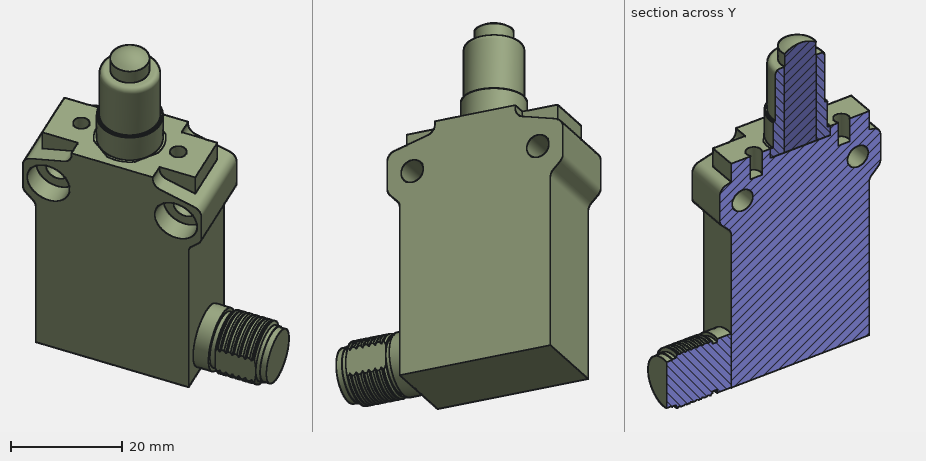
import cadquery as cq
import math


HOUSING_WIDTH = 30.0
HOUSING_DEPTH = 16.0
HOUSING_HEIGHT = 49.0
EAR_WIDTH = 35.0
EAR_BOTTOM = 36.67
CORNER_RADIUS = 2.0
NECK_WIDTH = 16.0
SHOULDER_ANGLE = 15.0
SHOULDER_EDGE_HEIGHT = 45.0
BLOCK_DEPTH = 10.0

MOUNT_SPACING = 25.0
MOUNT_HEIGHT = 40.0
MOUNT_DIAMETER = 4.4
MOUNT_BORE_DIAMETER = 8.3
MOUNT_BORE_DEPTH = 4.0

TOP_HOLE_SPACING = 19.0
TOP_HOLE_DIAMETER = 3.0
TOP_HOLE_DEPTH = 5.0

BASE_DIAMETER = 13.0
BASE_ACROSS_FLATS = 12.1
BASE_TURN = 8.0
BASE_THICKNESS = 2.0
COLLAR_DIAMETER = 12.0
COLLAR_TOP = 54.7
COLLAR_CHAMFER = 0.2
SLEEVE_DIAMETER = 11.0
SLEEVE_TOP = 65.7
SLEEVE_FILLET = 1.0

PLUNGER_DIAMETER = 7.1
DOME_BASE = 68.5
PLUNGER_TOP = 69.7

FLANGE_DIAMETER = 12.0
FLANGE_END = 3.0
NECK_DIAMETER = 10.6
THREAD_START = 4.0
THREAD_END = 12.0
THREAD_DIAMETER = 12.0
THREAD_LEAD_RADIUS = 5.65
LEAD_IN_LENGTH = 0.4
RUN_OUT_LENGTH = 0.3
GROOVE_COUNT = 6
GROOVE_PITCH = 1.25
GROOVE_WIDTH = 0.7
GROOVE_DEPTH = 0.22
FIRST_GROOVE = 4.9
NOSE_DIAMETER = 10.3
NOSE_START = 12.8
CONNECTOR_LENGTH = 14.0

half_width = HOUSING_WIDTH / 2
recess_floor = HOUSING_HEIGHT - BASE_THICKNESS


def shoulder_height(x):
    """Height of the sloping ear shoulder at a distance x from the centre plane."""
    return SHOULDER_EDGE_HEIGHT + (half_width - x) * math.tan(math.radians(SHOULDER_ANGLE))


def upright_cylinder(diameter, top):
    """Cylinder on the Z axis that stands on the floor of the bushing recess."""
    return (
        cq.Workplane("XY")
        .workplane(offset=recess_floor)
        .circle(diameter / 2)
        .extrude(top - recess_floor)
    )


def base_flange():
    """Disc with four flats, flush with the top of the housing; also the shape of its recess."""
    flats = (
        cq.Workplane("XY")
        .workplane(offset=recess_floor)
        .rect(BASE_ACROSS_FLATS, BASE_ACROSS_FLATS)
        .extrude(BASE_THICKNESS)
        .rotate((0, 0, 0), (0, 0, 1), 45 + BASE_TURN)
    )
    return upright_cylinder(BASE_DIAMETER, HOUSING_HEIGHT).intersect(flats)


def make_housing():
    half_ear = EAR_WIDTH / 2
    half_neck = NECK_WIDTH / 2
    underside_bottom = EAR_BOTTOM - (half_ear - half_width)
    right_side = [
        (half_width, 0),
        (half_width, underside_bottom),
        (half_ear, EAR_BOTTOM),
        (half_ear, shoulder_height(half_ear)),
        (half_neck, shoulder_height(half_neck)),
        (half_neck, HOUSING_HEIGHT),
    ]
    left_side = [(-x, z) for x, z in reversed(right_side)]
    body = (
        cq.Workplane("XZ")
        .polyline(right_side + left_side)
        .close()
        .extrude(HOUSING_DEPTH / 2, both=True)
    )
    lowest_rounded = underside_bottom / 2
    round_edges = [
        edge
        for edge in body.edges("|Y").vals()
        if lowest_rounded < edge.Center().z < HOUSING_HEIGHT - CORNER_RADIUS / 2
    ]
    body = body.newObject(round_edges).fillet(CORNER_RADIUS)

    block = cq.Workplane("XY").box(
        HOUSING_WIDTH, BLOCK_DEPTH, HOUSING_HEIGHT, centered=(True, True, False)
    )
    body = body.union(block)

    body = (
        body.faces("<Y")
        .workplane(origin=(0, -HOUSING_DEPTH / 2, MOUNT_HEIGHT))
        .pushPoints([(-MOUNT_SPACING / 2, 0), (MOUNT_SPACING / 2, 0)])
        .cboreHole(MOUNT_DIAMETER, MOUNT_BORE_DIAMETER, MOUNT_BORE_DEPTH)
    )
    body = (
        body.faces(">Z")
        .workplane(origin=(0, 0, HOUSING_HEIGHT))
        .pushPoints([(-TOP_HOLE_SPACING / 2, 0), (TOP_HOLE_SPACING / 2, 0)])
        .hole(TOP_HOLE_DIAMETER, TOP_HOLE_DEPTH)
    )
    return body.cut(base_flange())


def make_bushing():
    collar = upright_cylinder(COLLAR_DIAMETER, COLLAR_TOP).faces(">Z").chamfer(COLLAR_CHAMFER)
    sleeve = upright_cylinder(SLEEVE_DIAMETER, SLEEVE_TOP).faces(">Z").fillet(SLEEVE_FILLET)
    bore = upright_cylinder(PLUNGER_DIAMETER, SLEEVE_TOP)
    return base_flange().union(collar).union(sleeve).cut(bore)


def make_plunger():
    radius = PLUNGER_DIAMETER / 2
    rise = PLUNGER_TOP - DOME_BASE
    dome_radius = (radius**2 + rise**2) / (2 * rise)
    dome_center = PLUNGER_TOP - dome_radius
    half_angle = math.asin(radius / dome_radius) / 2
    dome_middle = (
        dome_radius * math.sin(half_angle),
        dome_center + dome_radius * math.cos(half_angle),
    )
    return (
        cq.Workplane("XZ")
        .moveTo(0, recess_floor)
        .lineTo(radius, recess_floor)
        .lineTo(radius, DOME_BASE)
        .threePointArc(dome_middle, (0, PLUNGER_TOP))
        .close()
        .revolve(360, (0, 0), (0, 1))
    )


def make_connector():
    neck_radius = NECK_DIAMETER / 2
    thread_radius = THREAD_DIAMETER / 2
    nose_radius = NOSE_DIAMETER / 2

    profile = [
        (0, 0),
        (0, FLANGE_DIAMETER / 2),
        (FLANGE_END, FLANGE_DIAMETER / 2),
        (FLANGE_END, neck_radius),
        (THREAD_START, neck_radius),
        (THREAD_START, THREAD_LEAD_RADIUS),
        (THREAD_START + LEAD_IN_LENGTH, thread_radius),
    ]
    for i in range(GROOVE_COUNT):
        center = FIRST_GROOVE + i * GROOVE_PITCH
        profile += [
            (center - GROOVE_WIDTH / 2, thread_radius),
            (center, thread_radius - GROOVE_DEPTH),
            (center + GROOVE_WIDTH / 2, thread_radius),
        ]
    profile += [
        (THREAD_END - RUN_OUT_LENGTH, thread_radius),
        (THREAD_END, neck_radius),
        (NOSE_START, neck_radius),
        (NOSE_START, nose_radius),
        (CONNECTOR_LENGTH, nose_radius),
        (CONNECTOR_LENGTH, 0),
    ]
    turned = cq.Workplane("XY").polyline(profile).close().revolve(360, (0, 0), (1, 0))

    thread_length = THREAD_END - THREAD_START
    flat_cut = thread_radius - neck_radius
    for side in (-1, 1):
        flat = cq.Workplane("XY").box(thread_length, flat_cut, THREAD_DIAMETER).translate(
            (THREAD_START + thread_length / 2, side * (neck_radius + flat_cut / 2), 0)
        )
        turned = turned.cut(flat)
    return turned.translate((half_width, 0, FLANGE_DIAMETER / 2))


housing = make_housing()
bushing = make_bushing()
plunger = make_plunger()
connector = make_connector()

result = cq.Compound.makeCompound(
    [housing.val(), bushing.val(), plunger.val(), connector.val()]
)